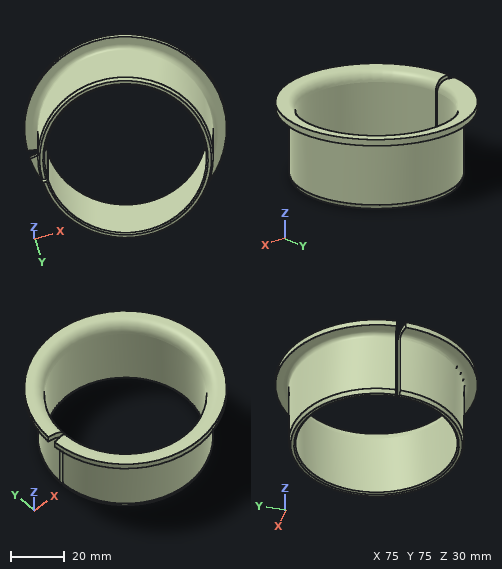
import cadquery as cq
import math

bore_radius = 30.0
wall = 2.5
flange_radius = 37.5
height = 30.0
outer_bend_radius = 2.0

outer_chamfer_height = 1.8
outer_chamfer_angle = 20.0
inner_chamfer = 0.6

split_half_gap_at_bore = 0.4
split_half_angle = 10.0
split_margin = 1.0

body_radius = bore_radius + wall
inner_bend_radius = outer_bend_radius + wall
bend_center_radius = body_radius + outer_bend_radius
bend_center_z = height / 2 - inner_bend_radius
flange_underside_z = height / 2 - wall
top_z = height / 2
bottom_z = -height / 2


def bend_midpoint(radius):
    """Middle of a quarter bend, on the side facing the axis and the top."""
    offset = radius * math.sqrt(0.5)
    return (bend_center_radius - offset, bend_center_z + offset)


def make_flanged_sleeve():
    """Revolve the wall section (radius, z) about the Z axis, with the seam inside the split."""
    outer_chamfer_depth = outer_chamfer_height * math.tan(math.radians(outer_chamfer_angle))
    return (
        cq.Workplane("XZ")
        .moveTo(bore_radius + inner_chamfer, bottom_z)
        .lineTo(body_radius - outer_chamfer_depth, bottom_z)
        .lineTo(body_radius, bottom_z + outer_chamfer_height)
        .lineTo(body_radius, bend_center_z)
        .threePointArc(bend_midpoint(outer_bend_radius), (bend_center_radius, flange_underside_z))
        .lineTo(flange_radius, flange_underside_z)
        .lineTo(flange_radius, top_z)
        .lineTo(bend_center_radius, top_z)
        .threePointArc(bend_midpoint(inner_bend_radius), (bore_radius, bend_center_z))
        .lineTo(bore_radius, bottom_z + inner_chamfer)
        .close()
        .revolve(360, (0, 0, 0), (0, 1, 0))
        .rotate((0, 0, 0), (0, 0, 1), 180)
    )


def make_split_wedge():
    """Full-height triangular cutter with its tip inside the bore."""
    slope = math.tan(math.radians(split_half_angle))
    tip_x = -(bore_radius - split_half_gap_at_bore / slope)
    outer_x = -(flange_radius + split_margin)
    outer_half_gap = (tip_x - outer_x) * slope
    return (
        cq.Workplane("XY", origin=(0, 0, bottom_z))
        .polyline([(tip_x, 0), (outer_x, outer_half_gap), (outer_x, -outer_half_gap)])
        .close()
        .extrude(height)
    )


result = make_flanged_sleeve().cut(make_split_wedge())